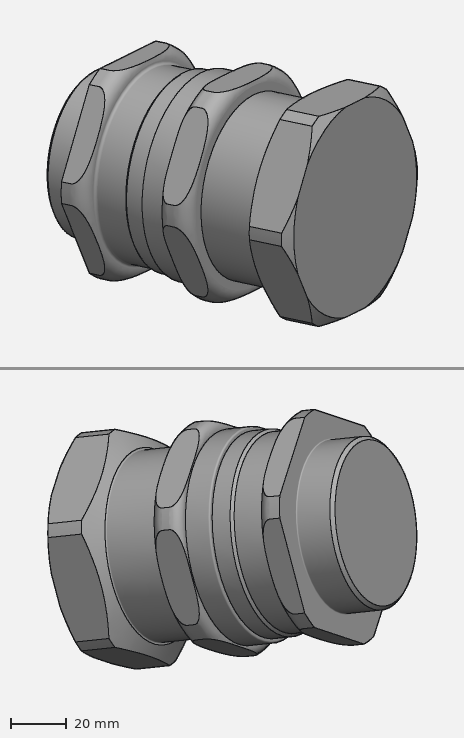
import cadquery as cq
import math

COLLAR_START = 15.1
COLLAR_END = 24.9
SEAL_START = 38.0
SEAL_END = 46.5
MIDDLE_HEX_START = 56.7
MIDDLE_HEX_END = 69.3
NUT_START = 91.9
TOTAL_LENGTH = 112.9

SPIGOT_DIAMETER = 63.0
NECK_DIAMETER = 73.2
SEAL_DIAMETER = 75.4
SHOULDER_DIAMETER = 78.5
SLEEVE_DIAMETER = 69.7
HEX_ROUND_DIAMETER = 88.0
NUT_FACE_DIAMETER = 71.5
NUT_ROUND_DIAMETER = 89.6

ACROSS_FLATS = 80.0
HEX_SIDES = 6
HEX_BACK_ROUND = 5.8
HEX_FRONT_ROUND = 4.1
NUT_FRONT_CHAMFER = 4.6
NUT_BACK_CHAMFER = 2.5
NUT_BACK_ANGLE = 60

SPIGOT_CHAMFER = 1.4
SPIGOT_ROOT_FILLET = 0.5
SLEEVE_ROOT_FILLET = 0.5
NECK_ROOT_FILLET = 1.1
SHOULDER_EDGE_FILLET = 0.7


def cylinder(start, end, diameter):
    """Solid cylinder on the X axis between two stations."""
    return cq.Workplane("YZ").workplane(offset=start).circle(diameter / 2).extrude(end - start)


def hexagon(start, end):
    """Hexagonal prism on the X axis, with two flats facing +Z and -Z."""
    across_corners = ACROSS_FLATS / math.cos(math.pi / HEX_SIDES)
    return cq.Workplane("YZ").workplane(offset=start).polygon(HEX_SIDES, across_corners).extrude(end - start)


def round_root(body, station, diameter, radius):
    """Fillet the circular inside corner of the given diameter at a station."""
    reach = 0.1
    half_width = diameter / 2 + reach
    root = cq.selectors.BoxSelector(
        (station - reach, -half_width, -half_width),
        (station + reach, half_width, half_width),
        boundingbox=True,
    )
    return body.edges("%CIRCLE").edges(root).fillet(radius)


def make_entry_body():
    """Chamfered spigot, hexagonal collar with a rounded back, and a plain neck."""
    collar_blank = cylinder(COLLAR_START, COLLAR_END, HEX_ROUND_DIAMETER)
    collar_blank = collar_blank.faces(">X").edges().fillet(HEX_BACK_ROUND)
    collar = hexagon(COLLAR_START, COLLAR_END).intersect(collar_blank)

    spigot = cylinder(0, COLLAR_START, SPIGOT_DIAMETER)
    spigot = spigot.faces("<X").chamfer(SPIGOT_CHAMFER)
    neck = cylinder(COLLAR_END, SEAL_START, NECK_DIAMETER)

    body = collar.union(spigot).union(neck)
    body = round_root(body, COLLAR_START, SPIGOT_DIAMETER, SPIGOT_ROOT_FILLET)
    return round_root(body, COLLAR_END, NECK_DIAMETER, NECK_ROOT_FILLET)


def make_seal_ring():
    """Ring whose front edge is chamfered down to the neck diameter."""
    chamfer = (SEAL_DIAMETER - NECK_DIAMETER) / 2
    return cylinder(SEAL_START, SEAL_END, SEAL_DIAMETER).faces("<X").chamfer(chamfer)


def make_shoulder_ring():
    """Plain ring with a rounded front edge."""
    ring = cylinder(SEAL_END, MIDDLE_HEX_START, SHOULDER_DIAMETER)
    return ring.faces("<X").edges().fillet(SHOULDER_EDGE_FILLET)


def make_middle_hex():
    """Hexagon with its corners rounded over at both ends."""
    blank = cylinder(MIDDLE_HEX_START, MIDDLE_HEX_END, HEX_ROUND_DIAMETER)
    blank = blank.faces("<X").edges().fillet(HEX_FRONT_ROUND)
    blank = blank.faces(">X").edges().fillet(HEX_BACK_ROUND)
    return hexagon(MIDDLE_HEX_START, MIDDLE_HEX_END).intersect(blank)


def make_sleeve_nut():
    """Plain sleeve running into a hexagonal nut with conical chamfers at both ends."""
    rim_radius = NUT_ROUND_DIAMETER / 2
    back_radius = rim_radius - NUT_BACK_CHAMFER * math.tan(math.radians(NUT_BACK_ANGLE))
    turned_blank = (
        cq.Workplane("XY")
        .moveTo(NUT_START, 0)
        .lineTo(NUT_START, NUT_FACE_DIAMETER / 2)
        .lineTo(NUT_START + NUT_FRONT_CHAMFER, rim_radius)
        .lineTo(TOTAL_LENGTH - NUT_BACK_CHAMFER, rim_radius)
        .lineTo(TOTAL_LENGTH, back_radius)
        .lineTo(TOTAL_LENGTH, 0)
        .close()
        .revolve(360, (0, 0, 0), (1, 0, 0))
    )
    nut = hexagon(NUT_START, TOTAL_LENGTH).intersect(turned_blank)
    sleeve = cylinder(MIDDLE_HEX_END, NUT_START, SLEEVE_DIAMETER)
    return round_root(nut.union(sleeve), NUT_START, SLEEVE_DIAMETER, SLEEVE_ROOT_FILLET)


entry_body = make_entry_body()
seal_ring = make_seal_ring()
shoulder_ring = make_shoulder_ring()
middle_hex = make_middle_hex()
sleeve_nut = make_sleeve_nut()

result = cq.Compound.makeCompound(
    [entry_body.val(), seal_ring.val(), shoulder_ring.val(), middle_hex.val(), sleeve_nut.val()]
)